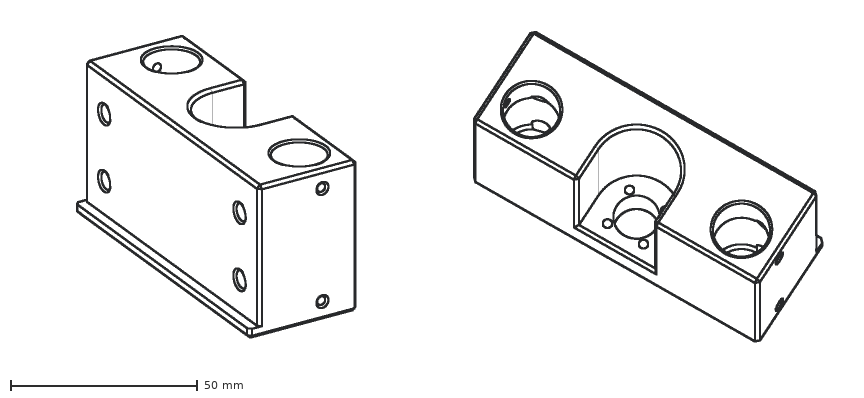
import cadquery as cq

length = 90.0
height = 45.0
body_depth = 31.0
lip_depth = 3.1
lip_height = 3.1
edge_chamfer = 1.0

back_y = (body_depth + lip_depth) / 2
front_y = -back_y
body_front_y = front_y + lip_depth

bore_inset = 11.0
bore_y = back_y - bore_inset

shaft_x = 33.0
shaft_diameter = 15.3
shaft_relief_diameter = 17.3
shaft_band = 11.0
shaft_mouth_chamfer = 0.6

pocket_radius = 12.0
pocket_floor_z = 10.0
nut_bore_diameter = 12.4
nut_screw_diameter = 2.5
nut_screw_spacing = 11.3

mount_diameter = 5.0
mount_x = 35.0
mount_heights = (13.0, 33.0)
mount_chamfer = 0.6

set_screw_diameter = 2.5
set_screw_inset = 5.6
set_screw_chamfer = 0.6


def full_length_box(y_front, z_bottom, z_top):
    """Box across the full length, from y_front to the back face."""
    size_y = back_y - y_front
    box = cq.Workplane("XY").box(length, size_y, z_top - z_bottom, centered=(True, False, False))
    return box.translate((0, y_front, z_bottom))


def nut_pocket():
    """U-shaped cutter: a round end and a straight run out through the back face."""
    depth = height - pocket_floor_z
    floor = cq.Workplane("XY", origin=(0, bore_y, pocket_floor_z))
    round_end = floor.circle(pocket_radius).extrude(depth)
    open_run = floor.box(2 * pocket_radius, 2 * bore_inset, depth, centered=(True, False, False))
    return round_end.union(open_run)


def shaft_bore(x):
    """Through bore with chamfered mouths and a relief that has 45-degree ends."""
    radius = shaft_diameter / 2
    relief_radius = shaft_relief_diameter / 2
    mouth_radius = radius + shaft_mouth_chamfer
    relief_start = shaft_band + relief_radius - radius
    profile = [
        (0, 0),
        (mouth_radius, 0),
        (radius, shaft_mouth_chamfer),
        (radius, shaft_band),
        (relief_radius, relief_start),
        (relief_radius, height - relief_start),
        (radius, height - shaft_band),
        (radius, height - shaft_mouth_chamfer),
        (mouth_radius, height),
        (0, height),
    ]
    bore = cq.Workplane("XZ").polyline(profile).close().revolve(360, (0, 0, 0), (0, 1, 0))
    return bore.translate((x, bore_y, 0))


def nut_holes():
    """Central nut bore and its four screw holes through the pocket floor."""
    floor = cq.Workplane("XY", origin=(0, bore_y, 0))
    bore = floor.circle(nut_bore_diameter / 2).extrude(pocket_floor_z)
    screws = (
        floor.rect(nut_screw_spacing, nut_screw_spacing, forConstruction=True)
        .vertices()
        .circle(nut_screw_diameter / 2)
        .extrude(pocket_floor_z)
    )
    return bore.union(screws)


def chamfered_hole(mouth, direction, diameter, depth, chamfer):
    """Hole cutter from the mouth point along direction, with a conical mouth."""
    start = cq.Vector(*mouth)
    axis = cq.Vector(*direction)
    radius = diameter / 2
    drill = cq.Solid.makeCylinder(radius, depth, start, axis)
    cone = cq.Solid.makeCone(radius + chamfer, radius, chamfer, start, axis)
    return cq.Workplane(drill.fuse(cone))


base = full_length_box(front_y, 0, lip_height).edges("<Z or |Z").chamfer(edge_chamfer)

body = full_length_box(body_front_y, lip_height, height).cut(nut_pocket())
body = body.edges("(>Z or >Y or (|Z and <Y)) exc <Z").chamfer(edge_chamfer)

result = base.union(body).cut(nut_holes())

for side in (-1, 1):
    result = result.cut(shaft_bore(side * shaft_x))

    for z in mount_heights:
        mouth = (side * mount_x, body_front_y, z)
        depth = bore_y - body_front_y
        result = result.cut(chamfered_hole(mouth, (0, 1, 0), mount_diameter, depth, mount_chamfer))

    for z in (set_screw_inset, height - set_screw_inset):
        mouth = (side * length / 2, bore_y, z)
        depth = length / 2 - shaft_x
        hole = chamfered_hole(mouth, (-side, 0, 0), set_screw_diameter, depth, set_screw_chamfer)
        result = result.cut(hole)